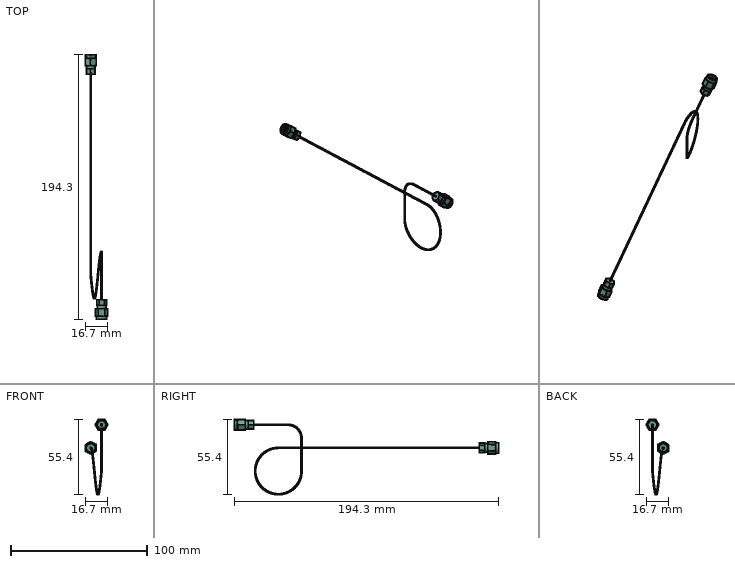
import cadquery as cq
import math

cable_diameter = 0.86
bend_radius = 10.0
loop_radius = 17.0
loop_turns = 0.75
loop_shift = 7.93
end_drop = 16.97
upper_run = 25.0
lower_run = 147.3

collar_length = 2.45
collar_diameter = 7.9
nut_length = 5.55
nut_flats = 8.0
neck_length = 2.5
neck_diameter = 6.6
rear_length = 4.0
rear_flats = 6.35
bore_diameter = 6.2
bore_depth = 3.0
pin_diameter = 1.27
pin_recess = 0.5
connector_length = collar_length + nut_length + neck_length + rear_length

upper_roll = 0.0
lower_roll = 93.0

riser_y = upper_run + bend_radius
loop_centre_y = riser_y - loop_radius
loop_centre_z = -end_drop - loop_radius
cable_end = cq.Vector(-loop_shift, loop_centre_y + lower_run, -end_drop)


def hexagon_diameter(across_flats):
    """Corner-to-corner size of a hexagon."""
    return across_flats / math.cos(math.radians(30))


def make_connector():
    """Connector along +Z, with its mating face at Z = 0 and hexagon corners on the X axis."""
    shell = (
        cq.Workplane("XY")
        .circle(collar_diameter / 2)
        .extrude(collar_length)
        .faces(">Z").workplane()
        .polygon(6, hexagon_diameter(nut_flats))
        .extrude(nut_length)
        .faces(">Z").workplane()
        .circle(neck_diameter / 2)
        .extrude(neck_length)
        .faces(">Z").workplane()
        .polygon(6, hexagon_diameter(rear_flats))
        .extrude(rear_length)
    )
    bore = cq.Workplane("XY").circle(bore_diameter / 2).extrude(bore_depth)
    pin = (
        cq.Workplane("XY", origin=(0, 0, pin_recess))
        .circle(pin_diameter / 2)
        .extrude(bore_depth - pin_recess)
    )
    return shell.cut(bore).union(pin)


def place_connector(mating_face, axis, roll):
    """One connector pointing from its mating face along the axis, rolled about that axis."""
    angle = math.radians(roll)
    corner_direction = (math.cos(angle), 0, math.sin(angle))
    plane = cq.Plane(origin=mating_face, xDir=corner_direction, normal=axis)
    return make_connector().val().moved(cq.Location(plane))


def make_cable():
    """Straight run, quarter bend, riser, three-quarter helical loop and long straight run."""
    bend_offset = bend_radius * math.sin(math.radians(45))
    start = cq.Vector(0, 0, 0)
    bend_start = cq.Vector(0, upper_run, 0)
    bend_middle = cq.Vector(0, upper_run + bend_offset, bend_offset - bend_radius)
    bend_end = cq.Vector(0, riser_y, -bend_radius)
    loop_start = cq.Vector(0, riser_y, loop_centre_z)
    loop_end = cq.Vector(-loop_shift, loop_centre_y, -end_drop)
    overrun = cq.Vector(0, cable_diameter, 0)

    loop_plane = cq.Plane(
        origin=(0, loop_centre_y, loop_centre_z), xDir=(0, 1, 0), normal=(-1, 0, 0)
    )
    loop = cq.Wire.makeHelix(loop_shift / loop_turns, loop_shift, loop_radius)
    path = cq.Wire.assembleEdges(
        [
            cq.Edge.makeLine(start, bend_start),
            cq.Edge.makeThreePointArc(bend_start, bend_middle, bend_end),
            cq.Edge.makeLine(bend_end, loop_start),
            *loop.moved(cq.Location(loop_plane)).Edges(),
            cq.Edge.makeLine(loop_end, cable_end + overrun),
        ]
    )
    section_plane = cq.Plane(origin=(0, 0, 0), xDir=(1, 0, 0), normal=(0, 1, 0))
    section = cq.Workplane(section_plane).circle(cable_diameter / 2)
    cable = section.sweep(cq.Workplane(path), transition="transformed")
    trim_plane = cq.Plane(origin=cable_end, xDir=(1, 0, 0), normal=(0, 1, 0))
    trim = cq.Workplane(trim_plane).circle(cable_diameter).extrude(2 * cable_diameter)
    return cable.cut(trim)


connector_placements = [
    (cq.Vector(0, -connector_length, 0), (0, 1, 0), upper_roll),
    (cable_end + cq.Vector(0, connector_length, 0), (0, -1, 0), lower_roll),
]
connectors = []
for mating_face, axis, roll in connector_placements:
    connectors.append(place_connector(mating_face, axis, roll))

cable = make_cable()

result = cq.Compound.makeCompound([*connectors, cable.val()])